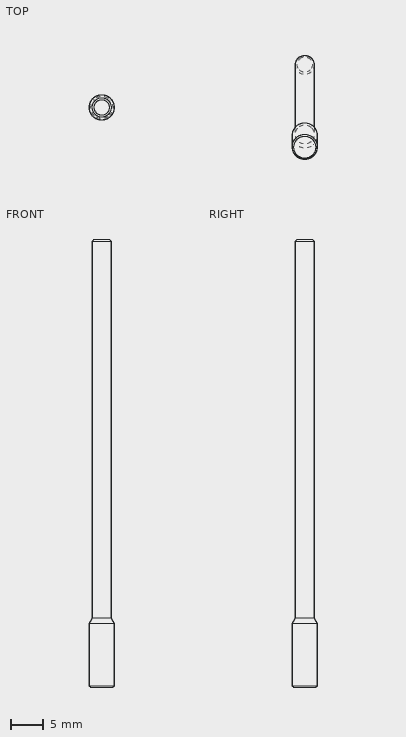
import cadquery as cq
import math

total_length = 70.0
shank_diameter = 3.0
head_diameter = 3.96
head_length = 10.0
shoulder_angle = 30.0
shank_chamfer = 0.3
head_chamfer = 0.25

shank_radius = shank_diameter / 2
head_radius = head_diameter / 2
shoulder_height = (head_radius - shank_radius) / math.tan(math.radians(shoulder_angle))
shank_length = total_length - head_length

head_bottom = -total_length / 2
joint_height = head_bottom + head_length


def make_head():
    """Wide cylinder, chamfered at its free lower end."""
    head = (
        cq.Workplane("XY", origin=(0, 0, head_bottom))
        .circle(head_radius)
        .extrude(head_length)
    )
    return head.faces("<Z").chamfer(head_chamfer)


def make_shank():
    """Slim rod widening through a conical shoulder to meet the head, chamfered at its free upper end."""
    profile = (
        cq.Workplane("XZ", origin=(0, 0, joint_height))
        .moveTo(0, 0)
        .lineTo(head_radius, 0)
        .lineTo(shank_radius, shoulder_height)
        .lineTo(shank_radius, shank_length)
        .lineTo(0, shank_length)
        .close()
    )
    shank = profile.revolve(360, (0, 0), (0, 1))
    return shank.faces(">Z").chamfer(shank_chamfer)


head = make_head()
shank = make_shank()

result = cq.Compound.makeCompound([head.val(), shank.val()])